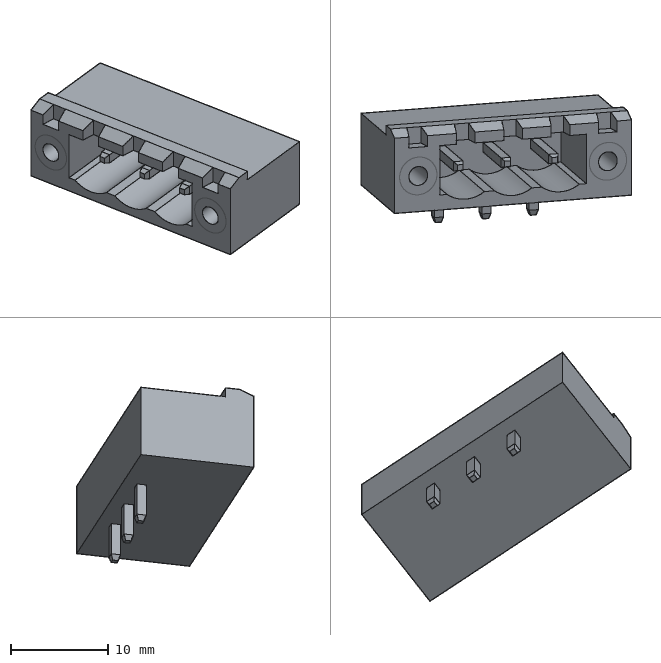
import cadquery as cq


pitch = 5.08
pin_count = 3
pin_xs = [(i - (pin_count - 1) / 2) * pitch for i in range(pin_count)]
flange_xs = [pin_xs[0] - pitch, pin_xs[-1] + pitch]

housing_width = pitch * (pin_count + 2)
housing_depth = 12.0
lip_height = 8.6
lip_depth = 3.0
lip_step = 1.0
rear_height = lip_height - lip_step
lip_slope_run = 1.5
lip_slope_drop = 0.6

pocket_width = 15.7
pocket_depth = 9.0
pocket_floor_z = 1.6
pocket_roof_z = 6.85
trough_width = 4.0
trough_sag = 0.65

slot_front_width = 2.0
slot_back_width = 1.5
slot_depth = lip_slope_run

axis_z = 3.8
bushing_diameter = 4.0
bushing_depth = pocket_depth
screw_hole_diameter = 2.0

pin_size = 1.0
pin_tip_size = 0.6
pin_tip_length = 0.6
pin_front_y = 2.0
pin_leg_inset = 2.0
pin_leg_y = housing_depth - pin_leg_inset
pin_leg_length = 4.0


def make_housing():
    """Block with a raised, sloped lip along the top of the mating face."""
    profile = [
        (0, 0),
        (housing_depth, 0),
        (housing_depth, rear_height),
        (lip_depth, rear_height),
        (lip_depth, lip_height),
        (lip_slope_run, lip_height),
        (0, lip_height - lip_slope_drop),
    ]
    sketch = cq.Workplane("YZ").polyline(profile).close()
    return sketch.extrude(housing_width / 2, both=True)


def make_pocket():
    """Volume of the mating pocket, with an arc trough below each pin."""
    half_width = pocket_width / 2
    outline = cq.Workplane("XZ").moveTo(-half_width, pocket_roof_z).lineTo(-half_width, pocket_floor_z)
    for x in pin_xs:
        outline = outline.lineTo(x - trough_width / 2, pocket_floor_z)
        outline = outline.threePointArc(
            (x, pocket_floor_z - trough_sag),
            (x + trough_width / 2, pocket_floor_z),
        )
    outline = outline.lineTo(half_width, pocket_floor_z).lineTo(half_width, pocket_roof_z).close()
    return outline.extrude(-pocket_depth)


def make_slot(x):
    """Tapered slot volume, from the pocket roof level up through the lip."""
    half_front = slot_front_width / 2
    half_back = slot_back_width / 2
    corners = [
        (x - half_front, 0),
        (x + half_front, 0),
        (x + half_back, slot_depth),
        (x - half_back, slot_depth),
    ]
    floor = cq.Workplane("XY").workplane(offset=pocket_roof_z)
    return floor.polyline(corners).close().extrude(lip_height - pocket_roof_z)


def make_cylinder(x, diameter):
    """Cylinder along Y on a flange axis, starting at the mating face."""
    return cq.Workplane("XZ").center(x, axis_z).circle(diameter / 2).extrude(-bushing_depth)


def make_pin_end(plane):
    """Tapered square end, growing along the normal of the given plane."""
    base = cq.Workplane(plane).rect(pin_size, pin_size)
    return base.workplane(offset=pin_tip_length).rect(pin_tip_size, pin_tip_size).loft(ruled=True)


def make_pin(x):
    """L-shaped square pin: contact towards the mating face, solder leg downwards."""
    half = pin_size / 2
    contact_start = pin_front_y + pin_tip_length
    leg_end = pin_tip_length - pin_leg_length
    contact = cq.Workplane("XY").box(
        pin_size, pin_leg_y + half - contact_start, pin_size, centered=(True, False, True)
    ).translate((x, contact_start, axis_z))
    leg = cq.Workplane("XY").box(
        pin_size, pin_size, axis_z + half - leg_end, centered=(True, True, False)
    ).translate((x, pin_leg_y, leg_end))
    contact_tip = make_pin_end(cq.Plane((x, contact_start, axis_z), (1, 0, 0), (0, -1, 0)))
    leg_tip = make_pin_end(cq.Plane((x, pin_leg_y, leg_end), (1, 0, 0), (0, 0, -1)))
    return contact.union(leg).union(contact_tip).union(leg_tip)


result = make_housing().cut(make_pocket())

for x in flange_xs + pin_xs:
    result = result.cut(make_slot(x))

for x in pin_xs:
    result = result.union(make_pin(x))

for x in flange_xs:
    bushing_bore = make_cylinder(x, bushing_diameter)
    screw_hole = make_cylinder(x, screw_hole_diameter)
    bushing = bushing_bore.cut(screw_hole)
    result = result.cut(bushing_bore, clean=False).union(bushing, clean=False)